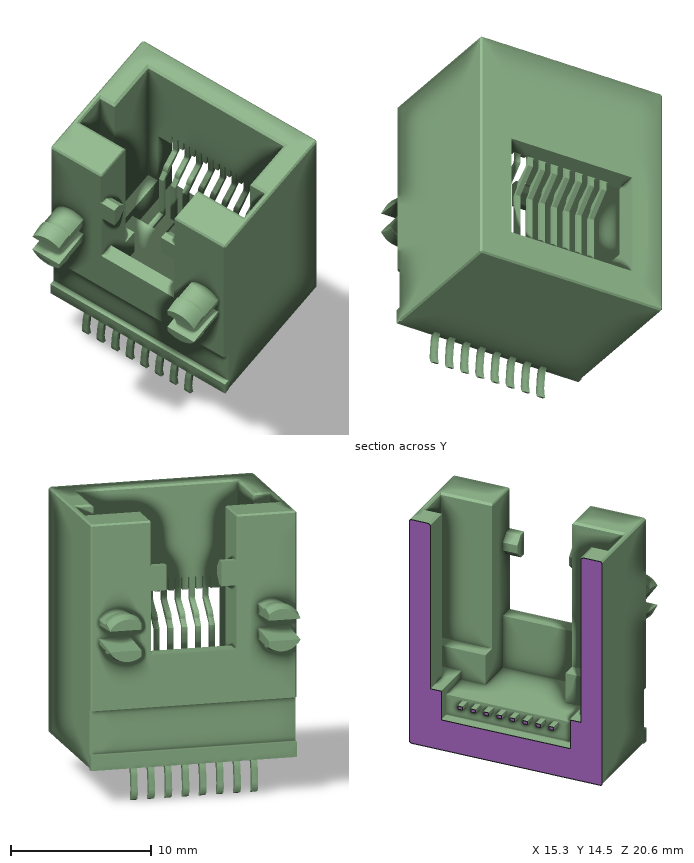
import cadquery as cq


body_width = 15.25
body_depth = 11.47
body_height = 18.15
edge_bevel = 0.12

relief_depth = 0.41
relief_bottom = 1.13
relief_top = 4.4

cavity_back = 9.7
narrow_half = 5.92
wide_half = 7.2
wide_back = 5.55
post_back = 2.98
window_half = 3.16
lead_in = 0.2
lead_in_height = 0.12
side_lead_in = 0.12
window_lead_in = 0.08

pit_bottom = 2.47
floor_level = 4.07
ledge_level = 4.79
shelf_level = 6.47
sill_level = 8.26
floor_half = 5.08
shelf_back = 4.07
pit_front = 6.55
sill_depth = 1.15

tab_bottom = 12.97
tab_top = 14.8
tab_reach = 1.13
tab_bevel = 0.6

opening_top = 10.32
slot_top = 11.25
slot_width = 0.64
slot_depth = 0.3

circuit_count = 8
contact_pitch = 1.03
contact_width = 0.4
contact_thickness = 0.29
contact_embed = 0.41
contact_foot = 3.6
riser_front = 8.01
riser_top = 8.01
shoulder_front = 8.88
shoulder_bottom = 9.08
shoulder_back = 9.55
shoulder_top = 9.58

pin_pitch = 1.27
pin_width = 0.45
pin_embed = 0.1
overall_height = 20.55
pin_length = overall_height - body_height
pin_bend_top = -0.55
pin_bend_bottom = -1.5

peg_x = 5.71
peg_z = 10.23
overall_depth = 14.5
peg_length = overall_depth - body_depth
peg_radius = 1.62
barb_radius = 1.73
tip_radius = 1.56
peg_embed = 0.2
barb_start = 1.79
barb_end = 2.2
peg_outer_flat = 7.05
peg_inner_flat = 4.73
split_root_half = 0.51
split_tip_half = 0.76


def box(x_min, x_max, y_min, y_max, z_min, z_max):
    """Axis-aligned block between the given limits."""
    block = cq.Workplane("XY").box(x_max - x_min, y_max - y_min, z_max - z_min, centered=False)
    return block.translate((x_min, y_min, z_min))


def centred_box(half_width, y_min, y_max, z_min, z_max):
    return box(-half_width, half_width, y_min, y_max, z_min, z_max)


def row(count, pitch):
    """X positions of a row centred on X = 0."""
    return [(i - (count - 1) / 2) * pitch for i in range(count)]


def side_prism(profile, x, width):
    """Extrude a profile drawn on the YZ plane to a width centred on x."""
    return profile.extrude(width / 2, both=True).translate((x, 0, 0))


def both_sides(shape):
    return shape.union(shape.mirror("YZ"))


def make_housing():
    body = centred_box(body_width / 2, 0, body_depth, 0, body_height)
    body = body.edges("|Z or >Z or <Z").chamfer(edge_bevel)
    relief = centred_box(body_width, -relief_depth, relief_depth, relief_bottom, relief_top)
    lip = centred_box(body_width / 2, 0, relief_depth, 0, relief_bottom)
    return body.cut(relief).union(lip)


def make_mouth():
    """Sloping lead-in around the cavity rim."""
    def outline(flare):
        narrow = narrow_half + flare * lead_in
        wide = wide_half + flare * side_lead_in
        window = window_half + flare * window_lead_in
        back = cavity_back + flare * lead_in
        step = wide_back + flare * lead_in
        post = post_back - flare * lead_in
        right = [(window, 0), (window, post), (wide, post), (wide, step), (narrow, step), (narrow, back)]
        return right + [(-x, y) for x, y in reversed(right)]

    rim = cq.Workplane("XY").workplane(offset=body_height - lead_in_height).polyline(outline(0)).close()
    return rim.workplane(offset=lead_in_height).polyline(outline(1)).close().loft(ruled=True, combine=True)


def make_jamb_bevel():
    """Bevel on the front edge of one window jamb, above the latch tab."""
    return (
        cq.Workplane("XY", origin=(0, 0, tab_top))
        .polyline([(window_half, 0), (window_half + window_lead_in, 0), (window_half, window_lead_in)])
        .close()
        .extrude(body_height - tab_top)
    )


def make_cavity():
    top = body_height
    cavity = centred_box(narrow_half, wide_back, cavity_back, ledge_level, top)
    cavity = cavity.union(centred_box(wide_half, shelf_back, wide_back, ledge_level, top))
    cavity = cavity.union(centred_box(wide_half, post_back, shelf_back, shelf_level, top))
    cavity = cavity.union(centred_box(floor_half, shelf_back, cavity_back, floor_level, top))
    cavity = cavity.union(centred_box(window_half, sill_depth, shelf_back, floor_level, top))
    cavity = cavity.union(centred_box(window_half, 0, sill_depth, sill_level, top))
    return cavity.union(make_mouth()).union(both_sides(make_jamb_bevel()))


def make_back_opening():
    opening = centred_box(floor_half, pit_front, body_depth, pit_bottom, opening_top)
    for x in row(circuit_count, contact_pitch):
        slot = box(
            x - slot_width / 2, x + slot_width / 2,
            cavity_back, cavity_back + slot_depth,
            opening_top, slot_top,
        )
        opening = opening.union(slot)
    return opening


def make_latch_tab():
    """Tab narrowing the window, with its rear edges bevelled."""
    tab = box(window_half - tab_reach, window_half, 0, sill_depth, tab_bottom, tab_top)
    return tab.edges(">Y and |X").chamfer(tab_bevel)


def make_contact(x):
    """Spring contact rising from the pit to its slot in the back wall."""
    t = contact_thickness
    foot_front = pit_front - contact_embed
    foot_top = contact_foot + t
    slot_back = cavity_back + slot_depth
    slot_front = slot_back - t
    lower_bend_start = (8.47, 8.53)
    lower_bend_middle = (8.6, 8.88)
    upper_bend_middle = (9.68, 9.68)
    upper_bend_end = (slot_front, 9.82)
    profile = (
        cq.Workplane("YZ")
        .moveTo(foot_front, foot_top)
        .lineTo(riser_front, foot_top)
        .lineTo(riser_front, riser_top)
        .lineTo(*lower_bend_start)
        .threePointArc(lower_bend_middle, (shoulder_front, shoulder_bottom))
        .lineTo(shoulder_back, shoulder_top)
        .threePointArc(upper_bend_middle, upper_bend_end)
        .lineTo(slot_front, slot_top)
        .lineTo(slot_back, slot_top)
        .lineTo(slot_back, shoulder_top)
        .lineTo(riser_front + t, riser_top)
        .lineTo(riser_front + t, contact_foot)
        .lineTo(foot_front, contact_foot)
        .close()
    )
    return side_prism(profile, x, contact_width)


def make_pin(x):
    """Solder pin curving out below the front lip, then back at its tip."""
    root_front = 0.0
    root_back = 0.47
    upper_front = (-0.16, pin_bend_top)
    upper_back = (0.23, pin_bend_top)
    lower_front = (-0.27, pin_bend_bottom)
    lower_back = (0.1, pin_bend_bottom)
    tip_front = (-0.1, -2.26)
    tip_back = (0.25, -pin_length)
    upper_bend_front = (-0.1, -0.25)
    upper_bend_back = (0.3, -0.25)
    lower_bend_front = (-0.25, -1.97)
    lower_bend_back = (0.15, -1.93)
    profile = (
        cq.Workplane("YZ")
        .moveTo(root_front, pin_embed)
        .lineTo(root_front, 0)
        .threePointArc(upper_bend_front, upper_front)
        .lineTo(*lower_front)
        .threePointArc(lower_bend_front, tip_front)
        .lineTo(*tip_back)
        .threePointArc(lower_bend_back, lower_back)
        .lineTo(*upper_back)
        .threePointArc(upper_bend_back, (root_back, 0))
        .lineTo(root_back, pin_embed)
        .close()
    )
    return side_prism(profile, x, pin_width)


def make_peg():
    """Barbed peg with flattened sides, split by a gap that widens towards the tip."""
    peg = (
        cq.Workplane("XY")
        .polyline([
            (0, peg_embed), (peg_radius, peg_embed), (peg_radius, -barb_start), (barb_radius, -barb_start),
            (barb_radius, -barb_end), (tip_radius, -peg_length), (0, -peg_length),
        ])
        .close()
        .revolve(360, axisStart=(0, 0, 0), axisEnd=(0, 1, 0))
        .translate((peg_x, 0, peg_z))
    )
    peg = peg.intersect(box(peg_inner_flat, peg_outer_flat, -peg_length, peg_embed, 0, body_height))
    gap = (
        cq.Workplane("YZ")
        .polyline([
            (0, peg_z - split_root_half), (0, peg_z + split_root_half),
            (-peg_length, peg_z + split_tip_half), (-peg_length, peg_z - split_tip_half),
        ])
        .close()
    )
    return peg.cut(side_prism(gap, peg_x, 4 * peg_radius))


result = make_housing().cut(make_cavity()).cut(make_back_opening())
result = result.union(both_sides(make_latch_tab())).union(both_sides(make_peg()))
for contact_x in row(circuit_count, contact_pitch):
    result = result.union(make_contact(contact_x))
for pin_x in row(circuit_count, pin_pitch):
    result = result.union(make_pin(pin_x))